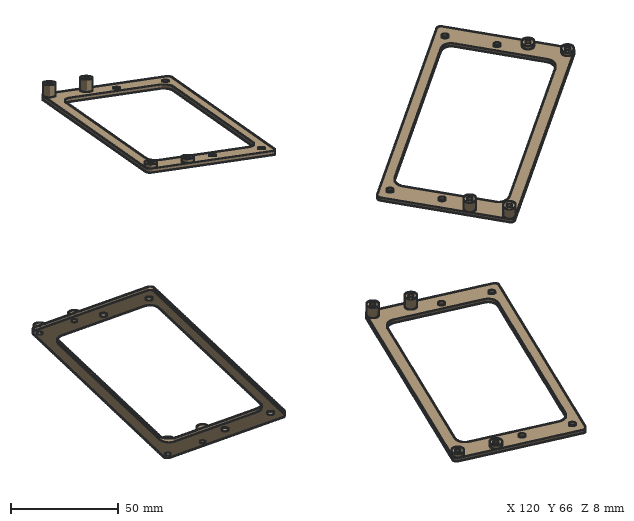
import cadquery as cq

length = 120.0
width = 66.0
plate_thickness = 2.0
plate_corner_radius = 2.0
window_length = 100.0
window_width = 55.0
window_corner_radius = 5.0
window_offset_y = 0.4

mount_hole_diameter = 3.2
mount_hole_x = 54.0
mount_hole_ys = (28.0, 3.0)

standoff_diameter = 5.9
standoff_bore = 2.5
tall_standoff_top = 8.0
short_standoff_top = 2 * plate_thickness
standoff_x = (length - standoff_diameter) / 2
front_standoff_y = -(width - standoff_diameter) / 2
standoff_pitch = 19.0
standoff_ys = (front_standoff_y, front_standoff_y + standoff_pitch)


def rounded_slab(size_x, size_y, radius):
    """Slab of plate thickness with rounded vertical edges, resting on Z = 0."""
    slab = cq.Workplane("XY").box(size_x, size_y, plate_thickness, centered=(True, True, False))
    return slab.edges("|Z").fillet(radius)


def cylinders(points, diameter, height):
    """Vertical cylinders rising from Z = 0 at the given points."""
    return cq.Workplane("XY").pushPoints(points).circle(diameter / 2).extrude(height)


plate = rounded_slab(length, width, plate_corner_radius)
window = rounded_slab(window_length, window_width, window_corner_radius)
frame = plate.cut(window.translate((0, window_offset_y, 0)))

left_points = [(-standoff_x, y) for y in standoff_ys]
right_points = [(standoff_x, y) for y in standoff_ys]
frame = frame.union(cylinders(left_points, standoff_diameter, tall_standoff_top))
frame = frame.union(cylinders(right_points, standoff_diameter, short_standoff_top))

mount_points = [(side * mount_hole_x, y) for side in (-1, 1) for y in mount_hole_ys]
frame = frame.cut(cylinders(mount_points, mount_hole_diameter, plate_thickness))
result = frame.cut(cylinders(left_points + right_points, standoff_bore, tall_standoff_top))